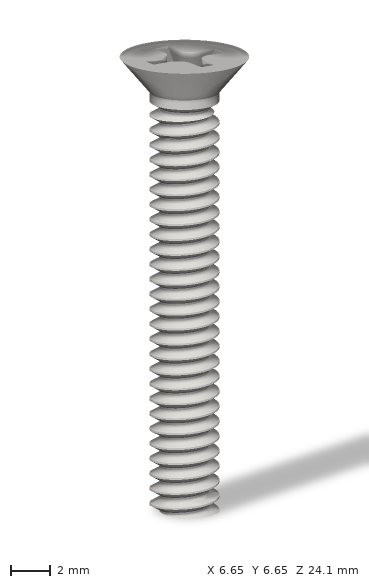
import cadquery as cq
import math

LENGTH = 24.1
HEAD_RADIUS = 6.65 / 2
THREAD_RADIUS = 3.6 / 2
ROOT_RADIUS = 2.58 / 2
HEAD_HEIGHT = 1.83
COLLAR_BOTTOM = 2.34

CREST_COUNT = 27
CREST_SPAN = 20.63
PITCH = CREST_SPAN / (CREST_COUNT - 1)
CREST_FLAT = PITCH / 8
FLANK_ANGLE = math.radians(30)
FLANK_RISE = (THREAD_RADIUS - ROOT_RADIUS) * math.tan(FLANK_ANGLE)
RELIEF_FLAT = 0.12
FIRST_CREST = 3.2
ROOT_OVERLAP = 0.07

RECESS_SPAN = 4.35
RECESS_WIDTH = 0.82
RECESS_DEPTH = 2.3
RECESS_CORNER_RADIUS = RECESS_WIDTH


def revolve_outline(points):
    """Solid of revolution about Z from (radius, z) points."""
    return cq.Workplane("XZ").polyline(points).close().revolve(360, (0, 0), (0, 1))


def make_head_and_core():
    """Countersunk head, collar, upper side of the relief groove and thread core."""
    return revolve_outline(
        [
            (0, 0),
            (HEAD_RADIUS, 0),
            (THREAD_RADIUS, -HEAD_HEIGHT),
            (THREAD_RADIUS, -COLLAR_BOTTOM),
            (ROOT_RADIUS, -COLLAR_BOTTOM - FLANK_RISE),
            (ROOT_RADIUS, -LENGTH),
            (0, -LENGTH),
        ]
    )


def make_ridge():
    """Right-handed helical ridge bounded by ruled faces and two flat ends."""
    turns = math.ceil((LENGTH - COLLAR_BOTTOM) / PITCH) + 1
    height = turns * PITCH
    start = -FIRST_CREST + PITCH / 2 + PITCH - height
    inner_radius = ROOT_RADIUS - ROOT_OVERLAP
    half_crest = CREST_FLAT / 2
    half_base = half_crest + (THREAD_RADIUS - inner_radius) * math.tan(FLANK_ANGLE)
    corners = [
        (inner_radius, start - half_base),
        (THREAD_RADIUS, start - half_crest),
        (THREAD_RADIUS, start + half_crest),
        (inner_radius, start + half_base),
    ]
    helices = [cq.Wire.makeHelix(PITCH, height, radius, cq.Vector(0, 0, z)) for radius, z in corners]
    faces = []
    for index, helix in enumerate(helices):
        faces.append(cq.Face.makeRuledSurface(helices[index - 1], helix))
    for rise in (0, height):
        end = cq.Wire.makePolygon([cq.Vector(radius, 0, z + rise) for radius, z in corners], close=True)
        faces.append(cq.Face.makeFromWires(end))
    return cq.Workplane(cq.Solid.makeSolid(cq.Shell.makeShell(faces)).fix())


def make_thread():
    """Ridge trimmed by the lower side of the relief groove and by the flat tip."""
    trim_top = -COLLAR_BOTTOM - FLANK_RISE - RELIEF_FLAT
    trim_bottom = trim_top - (HEAD_RADIUS - ROOT_RADIUS) * math.tan(FLANK_ANGLE)
    envelope = revolve_outline(
        [
            (0, trim_top),
            (ROOT_RADIUS, trim_top),
            (HEAD_RADIUS, trim_bottom),
            (HEAD_RADIUS, -LENGTH),
            (0, -LENGTH),
        ]
    )
    return make_ridge().intersect(envelope)


def make_recess():
    """Four arms whose floors slope down to a small square at the centre."""
    half_span = RECESS_SPAN / 2
    half_width = RECESS_WIDTH / 2
    cross = (
        cq.Workplane("XY")
        .rect(RECESS_SPAN, RECESS_WIDTH)
        .extrude(-RECESS_DEPTH)
        .union(cq.Workplane("XY").rect(RECESS_WIDTH, RECESS_SPAN).extrude(-RECESS_DEPTH))
    )
    inner_corners = cq.selectors.BoxSelector(
        (-RECESS_WIDTH, -RECESS_WIDTH, -RECESS_DEPTH), (RECESS_WIDTH, RECESS_WIDTH, 0)
    )
    cross = cross.edges("|Z").edges(inner_corners).fillet(RECESS_CORNER_RADIUS)
    taper = math.degrees(math.atan2(half_span - half_width, RECESS_DEPTH))
    pyramid = cq.Workplane("XY").rect(RECESS_SPAN, RECESS_SPAN).extrude(-RECESS_DEPTH, taper=taper)
    return cross.intersect(pyramid)


result = make_head_and_core().union(make_thread()).cut(make_recess())